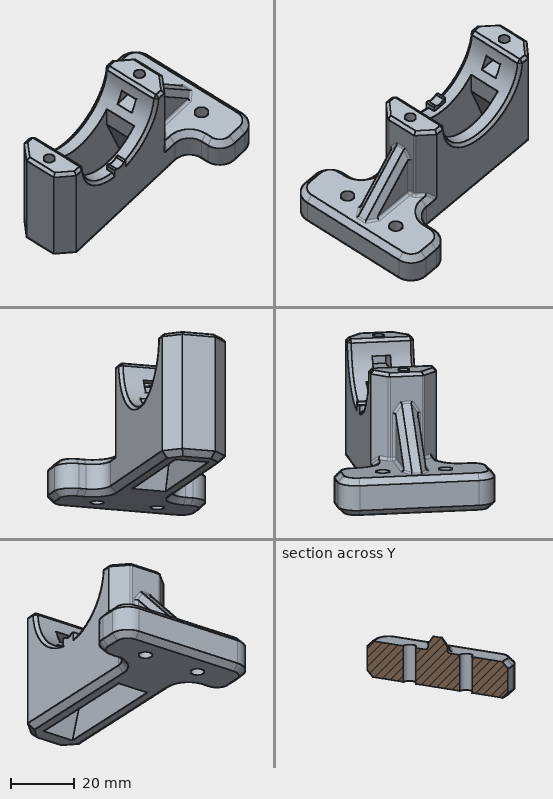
import cadquery as cq

body_width = 21.0
body_length = 54.0
height = 40.0
corner_bevel = 5.0
rim_chamfer = 1.1

plate_width = 50.0
plate_depth = 17.0
plate_thickness = 12.0
plate_radius = 6.0
plate_chamfer = 2.0
plate_hole_diameter = 4.3
plate_hole_spacing = 20.0
plate_hole_inset = 9.0

bore_radius = 18.0

rib_width = 7.0
rib_length = 18.9
rib_height = 18.5
rib_chamfer = 2.0
root_fillet = 1.0

rib_sink = 0.8

window_width = 11.0
window_length = 26.0
flare_height = 20.0
flare_offset = 7.2

screw_diameter = 3.55
screw_offset = 22.5
nut_pocket_width = 5.8
nut_pocket_bottom = 30.0
nut_pocket_top = 34.6
nut_pocket_end = 25.4

tab_length = 3.2
tab_width = 5.5
tab_top = 23.9
tab_groove_width = 3.7
tab_groove_depth = 0.7
tab_bottom = 20.0

tolerance = 0.1

body_back = body_length / 2
plate_back = body_back + plate_radius + plate_depth
plate_front = plate_back - plate_depth
plate_hole_y = plate_back - plate_hole_inset


def make_base():
    """T-shaped slab with rounded crossbar, chamfered around its top and bottom."""
    crossbar = (
        cq.Workplane("XY")
        .center(0, (plate_back + plate_front) / 2)
        .rect(plate_width, plate_depth)
        .extrude(plate_thickness)
        .edges("|Z")
        .fillet(plate_radius)
    )
    stem_length = plate_front + body_back
    stem = (
        cq.Workplane("XY")
        .center(0, plate_front - stem_length / 2)
        .rect(body_width, stem_length)
        .extrude(plate_thickness)
        .edges("|Z and <Y")
        .chamfer(corner_bevel)
    )
    inner_corners = cq.selectors.BoxSelector(
        (-body_width, plate_front - tolerance, 0),
        (body_width, plate_front + tolerance, plate_thickness),
    )
    slab = crossbar.union(stem).edges("|Z").edges(inner_corners).fillet(plate_radius)
    return slab.faces("<Z or >Z").edges().chamfer(plate_chamfer)


def make_body():
    """Upright block above the base chamfer."""
    return (
        cq.Workplane("XY")
        .workplane(offset=plate_chamfer)
        .rect(body_width, body_length)
        .extrude(height - plate_chamfer)
        .edges("|Z")
        .chamfer(corner_bevel)
    )


def make_rib():
    """Triangular rib, sunk into plate and body, with its sloping face chamfered at both sides."""
    slope = rib_height / rib_length
    bottom = plate_thickness - rib_sink
    front = body_back - rib_sink
    tip = body_back + rib_length + rib_sink / slope
    peak = plate_thickness + rib_height + rib_sink * slope
    return (
        cq.Workplane("YZ")
        .polyline([(front, bottom), (tip, bottom), (front, peak)])
        .close()
        .extrude(rib_width / 2, both=True)
        .faces("not(|X or |Y or |Z)")
        .edges("not |X")
        .chamfer(rib_chamfer)
    )


def fillet_roots(solid):
    """Fillet where the rib and the body rise from the plate, and where the rib meets the body."""
    flat_half_width = body_width / 2 - corner_bevel
    bevel_end_y = body_back - corner_bevel
    rib_on_body = cq.selectors.BoxSelector(
        (-rib_width, body_back - tolerance, plate_thickness + tolerance),
        (rib_width, body_back + tolerance, height - rim_chamfer - tolerance),
    )
    bevel_middle_x = flat_half_width + (corner_bevel - plate_chamfer) / 2
    on_plate = cq.selectors.BoxSelector(
        (-bevel_middle_x - tolerance, bevel_end_y, plate_thickness - tolerance),
        (bevel_middle_x + tolerance, body_back + rib_length + tolerance, plate_thickness + tolerance),
    )
    on_plate_chamfer = cq.selectors.BoxSelector(
        (-body_width, bevel_end_y, plate_thickness - plate_chamfer),
        (body_width, bevel_end_y + plate_chamfer, plate_thickness - tolerance),
    )
    return solid.edges(rib_on_body + on_plate + on_plate_chamfer).fillet(root_fillet)


def cut_cradle(solid):
    """Cut the half-round bore and chamfer its rims together with the top edges."""
    bore = (
        cq.Workplane("YZ")
        .center(0, height)
        .circle(bore_radius)
        .extrude(body_width, both=True)
    )
    cradle = solid.cut(bore)
    bore_face = cradle.faces(cq.selectors.BoxSelector(
        (-body_width, -tolerance, height - bore_radius), (body_width, tolerance, height)
    ))
    rims = bore_face.edges().vals() + cradle.faces(">Z").edges().vals()
    return cradle.newObject(rims).chamfer(rim_chamfer)


def make_window():
    """Rectangular passage whose end walls lean outwards below the flare height."""
    half_length = window_length / 2
    flared_half_length = half_length + flare_offset
    return (
        cq.Workplane("YZ")
        .moveTo(-flared_half_length, 0)
        .lineTo(-half_length, flare_height)
        .lineTo(-half_length, height)
        .lineTo(half_length, height)
        .lineTo(half_length, flare_height)
        .lineTo(flared_half_length, 0)
        .close()
        .extrude(window_width / 2, both=True)
    )


def make_screw_hole(side):
    """Screw hole down to the nut pocket and the pocket itself; side is 1 at the back, -1 in front."""
    screw = (
        cq.Workplane("XY")
        .workplane(offset=nut_pocket_bottom)
        .center(0, side * screw_offset)
        .circle(screw_diameter / 2)
        .extrude(height - nut_pocket_bottom)
    )
    pocket = (
        cq.Workplane("XY")
        .workplane(offset=nut_pocket_bottom)
        .center(0, side * nut_pocket_end / 2)
        .rect(nut_pocket_width, nut_pocket_end)
        .extrude(nut_pocket_top - nut_pocket_bottom)
    )
    return screw.union(pocket)


def make_tab():
    """Small block standing on the cradle floor with a shallow round groove along X."""
    half_width = tab_width / 2
    half_groove = tab_groove_width / 2
    return (
        cq.Workplane("YZ")
        .workplane(offset=body_width / 2 - tab_length)
        .moveTo(-half_width, tab_bottom)
        .lineTo(-half_width, tab_top)
        .lineTo(-half_groove, tab_top)
        .threePointArc((0, tab_top - tab_groove_depth), (half_groove, tab_top))
        .lineTo(half_width, tab_top)
        .lineTo(half_width, tab_bottom)
        .close()
        .extrude(tab_length)
    )


plate_holes = (
    cq.Workplane("XY")
    .pushPoints([(-plate_hole_spacing / 2, plate_hole_y), (plate_hole_spacing / 2, plate_hole_y)])
    .circle(plate_hole_diameter / 2)
    .extrude(plate_thickness)
)

result = make_base().union(cut_cradle(make_body())).union(make_rib())
result = fillet_roots(result)
result = result.cut(make_window()).cut(plate_holes)
for side in (-1, 1):
    result = result.cut(make_screw_hole(side))
result = result.union(make_tab())